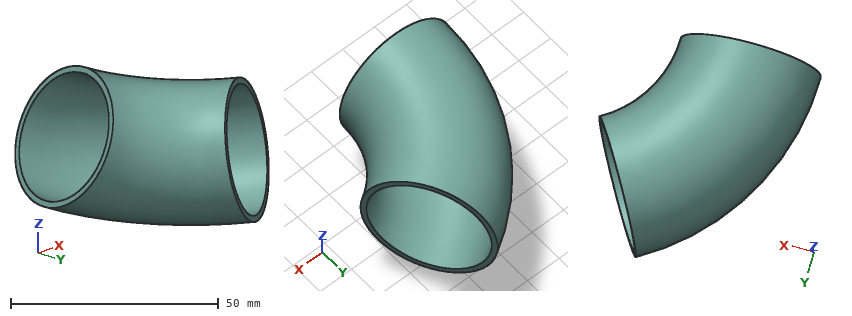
import cadquery as cq
import math

outer_diameter = 35.0
wall = 1.5
bend_angle = 60
length_y = 54.15

outer_radius = outer_diameter / 2
inner_radius = outer_radius - wall
bend_radius = length_y / math.sin(math.radians(bend_angle)) - outer_radius

inlet_ring = cq.Workplane("XZ").circle(outer_radius).circle(inner_radius)
axis_start = (bend_radius, 0)
axis_end = (bend_radius, -1)
result = inlet_ring.revolve(bend_angle, axis_start, axis_end)